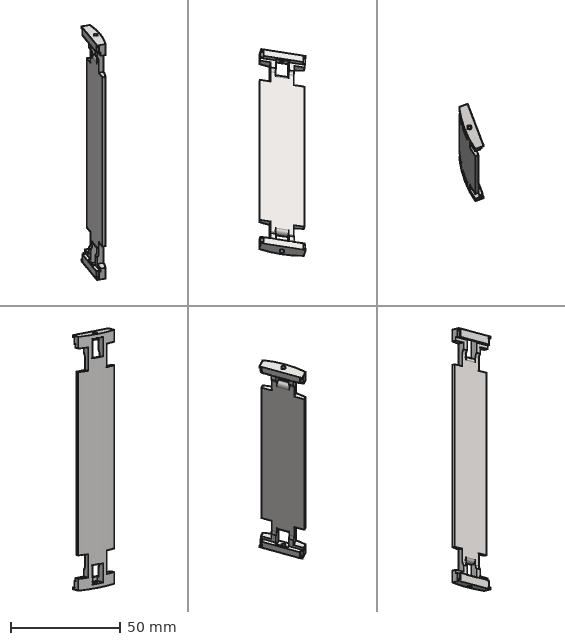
import cadquery as cq
import math

WIDTH = 21.0
LENGTH = 120.0
DEPTH = 5.39
HALF_LENGTH = LENGTH / 2
CROWN_DROP = 1.2

PLATE_DEPTH = 2.8
PLATE_HALF_LENGTH = 43.3

CAP_HEIGHT = 5.6
LIP_HEIGHT = 4.0
NOTCH_WIDTH = 1.2
NOTCH_DEPTH = 1.0
NOTCH_TOP = 0.9

NECK_WIDTH = 11.0
NECK_DEPTH = 3.6
STEP_START = 8.8
STEP_RADIUS = 2.5
WINDOW_WIDTH = 6.2
WINDOW_END = 11.15
WINDOW_FLOOR = 2.0
WINDOW_DEPTH = 4.5
ROLL_RADIUS = 2.0

HOLE_DIAMETER = 2.0
HOLE_DEPTH_FROM_CROWN = 2.2


def block(width, depth_range, z_range):
    """Box centred on x = 0, with depths measured from the crown."""
    depth_a, depth_b = depth_range
    z_a, z_b = z_range
    box = cq.Workplane("XY").box(width, depth_b - depth_a, z_b - z_a, centered=(True, False, False))
    return box.translate((0, -depth_b, z_a))


def curved_back_envelope():
    """Bar with the arched back, running the whole length."""
    half_width = WIDTH / 2
    return (
        cq.Workplane("XY")
        .workplane(offset=-HALF_LENGTH)
        .moveTo(-half_width, -DEPTH)
        .lineTo(half_width, -DEPTH)
        .lineTo(half_width, -CROWN_DROP)
        .threePointArc((0, 0), (-half_width, -CROWN_DROP))
        .close()
        .extrude(LENGTH)
    )


def neck():
    """Neck whose front steps down to the plate through a concave arc."""
    rise = NECK_DEPTH - PLATE_DEPTH
    sweep = math.acos(1 - rise / STEP_RADIUS)
    step_z = HALF_LENGTH - STEP_START
    tangent_z = step_z - STEP_RADIUS * math.sin(sweep)
    mid_y = -PLATE_DEPTH - STEP_RADIUS * (1 - math.cos(sweep / 2))
    mid_z = tangent_z + STEP_RADIUS * math.sin(sweep / 2)
    cap_z = HALF_LENGTH - CAP_HEIGHT
    return (
        cq.Workplane("YZ")
        .moveTo(0, PLATE_HALF_LENGTH)
        .lineTo(-PLATE_DEPTH, PLATE_HALF_LENGTH)
        .lineTo(-PLATE_DEPTH, tangent_z)
        .threePointArc((mid_y, mid_z), (-NECK_DEPTH, step_z))
        .lineTo(-NECK_DEPTH, cap_z)
        .lineTo(0, cap_z)
        .close()
        .extrude(NECK_WIDTH / 2, both=True)
    )


def cap():
    """End cap with its front lip, notched at both ends."""
    body = block(WIDTH, (0, NECK_DEPTH), (HALF_LENGTH - CAP_HEIGHT, HALF_LENGTH))
    lip_bottom = HALF_LENGTH - LIP_HEIGHT
    lip = block(WIDTH, (NECK_DEPTH, DEPTH), (lip_bottom, HALF_LENGTH))
    notch = block(NOTCH_WIDTH, (DEPTH - NOTCH_DEPTH, DEPTH), (lip_bottom, HALF_LENGTH - NOTCH_TOP))
    notch_x = (WIDTH - NOTCH_WIDTH) / 2
    for side in (-1, 1):
        lip = lip.cut(notch.translate((side * notch_x, 0, 0)))
    return body.union(lip)


def window():
    """Opening between the arms, with the rounded plate edge at its inner end."""
    end_z = HALF_LENGTH - WINDOW_END
    floor_z = HALF_LENGTH - WINDOW_FLOOR
    roll_z = end_z - ROLL_RADIUS
    roll_top_y = -PLATE_DEPTH + ROLL_RADIUS
    roll_offset = ROLL_RADIUS * math.sqrt(0.5)
    return (
        cq.Workplane("YZ")
        .moveTo(0, end_z)
        .lineTo(roll_top_y, end_z)
        .threePointArc((roll_top_y - roll_offset, roll_z + roll_offset), (-PLATE_DEPTH, roll_z))
        .lineTo(-WINDOW_DEPTH, roll_z)
        .lineTo(-WINDOW_DEPTH, floor_z)
        .lineTo(0, floor_z)
        .close()
        .extrude(WINDOW_WIDTH / 2, both=True)
    )


def pin_hole():
    """Round hole from the end of the part into the window."""
    return (
        cq.Workplane("XY")
        .workplane(offset=HALF_LENGTH - WINDOW_FLOOR)
        .center(0, -HOLE_DEPTH_FROM_CROWN)
        .circle(HOLE_DIAMETER / 2)
        .extrude(WINDOW_FLOOR)
    )


plate = block(WIDTH, (0, PLATE_DEPTH), (-PLATE_HALF_LENGTH, PLATE_HALF_LENGTH))
end_solid = neck().union(cap())
end_opening = window().union(pin_hole())

outline = plate.union(end_solid).union(end_solid.mirror("XY"))
opened = outline.cut(end_opening).cut(end_opening.mirror("XY"))
result = opened.intersect(curved_back_envelope())